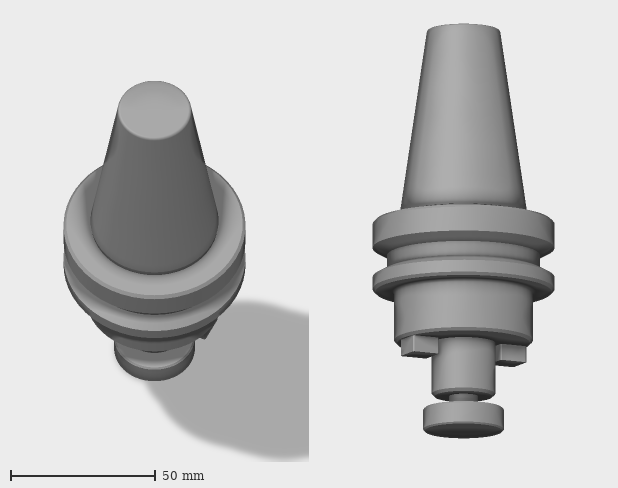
import cadquery as cq

total_height = 141.4
gauge_z = 76.0
flange_top_z = 74.0
flange_bottom_z = 49.0
body_bottom_z = 31.0
key_bottom_z = 25.3
pilot_bottom_z = 12.2
screw_head_height = 7.9

gauge_radius = 22.2
taper_slope = 7 / 24 / 2
undercut_radius = 21.9
flange_radius = 31.5
groove_radius = 26.6
body_radius = 24.0
pilot_radius = 11.0
neck_radius = 5.1
screw_head_radius = 14.0

groove_center_z = 59.4
groove_floor_width = 5.0
groove_mouth_width = 10.3

key_inner_x = 12.0
key_outer_x = 22.0
key_width = 10.0
key_embed = 1.4

edge_size = 1.0
screw_edge = 0.5
key_edge = 0.4


def cylinder(radius, bottom, top):
    return cq.Workplane("XY").workplane(offset=bottom).circle(radius).extrude(top - bottom)


def make_taper():
    top_radius = gauge_radius - taper_slope * (total_height - gauge_z)
    cone = (
        cq.Workplane("XZ")
        .moveTo(0, gauge_z)
        .lineTo(gauge_radius, gauge_z)
        .lineTo(top_radius, total_height)
        .lineTo(0, total_height)
        .close()
        .revolve(360, (0, 0, 0), (0, 1, 0))
        .faces(">Z").edges().fillet(edge_size)
    )
    return cone.union(cylinder(undercut_radius, flange_top_z, gauge_z))


def make_flange():
    flange = cylinder(flange_radius, flange_bottom_z, flange_top_z)
    flange = flange.faces(">Z or <Z").edges().chamfer(edge_size)
    half_mouth = groove_mouth_width / 2
    half_floor = groove_floor_width / 2
    groove = (
        cq.Workplane("XZ")
        .moveTo(flange_radius, groove_center_z - half_mouth)
        .lineTo(groove_radius, groove_center_z - half_floor)
        .lineTo(groove_radius, groove_center_z + half_floor)
        .lineTo(flange_radius, groove_center_z + half_mouth)
        .close()
        .revolve(360, (0, 0, 0), (0, 1, 0))
    )
    return flange.cut(groove)


def make_body():
    """Cylinder with a chamfered lower edge and a concave fillet up to the flange."""
    return (
        cq.Workplane("XZ")
        .moveTo(0, body_bottom_z)
        .lineTo(body_radius - edge_size, body_bottom_z)
        .lineTo(body_radius, body_bottom_z + edge_size)
        .lineTo(body_radius, flange_bottom_z - edge_size)
        .radiusArc((body_radius + edge_size, flange_bottom_z), edge_size)
        .lineTo(0, flange_bottom_z)
        .close()
        .revolve(360, (0, 0, 0), (0, 1, 0))
    )


def make_key(side):
    key_length = key_outer_x - key_inner_x
    key_height = body_bottom_z + key_embed - key_bottom_z
    return (
        cq.Workplane("XY")
        .workplane(offset=key_bottom_z)
        .center(side * (key_inner_x + key_outer_x) / 2, 0)
        .rect(key_length, key_width)
        .extrude(key_height)
        .edges("|Z").chamfer(key_edge)
    )


def make_pilot():
    pilot = cylinder(pilot_radius, pilot_bottom_z, body_bottom_z)
    return pilot.faces("<Z").edges().chamfer(edge_size)


def make_screw():
    head = cylinder(screw_head_radius, 0, screw_head_height)
    head = head.faces(">Z or <Z").edges().chamfer(screw_edge)
    return head.union(cylinder(neck_radius, screw_head_height, pilot_bottom_z))


result = make_taper().union(make_flange()).union(make_body())
for side in (-1, 1):
    result = result.union(make_key(side))
result = result.union(make_pilot()).union(make_screw())